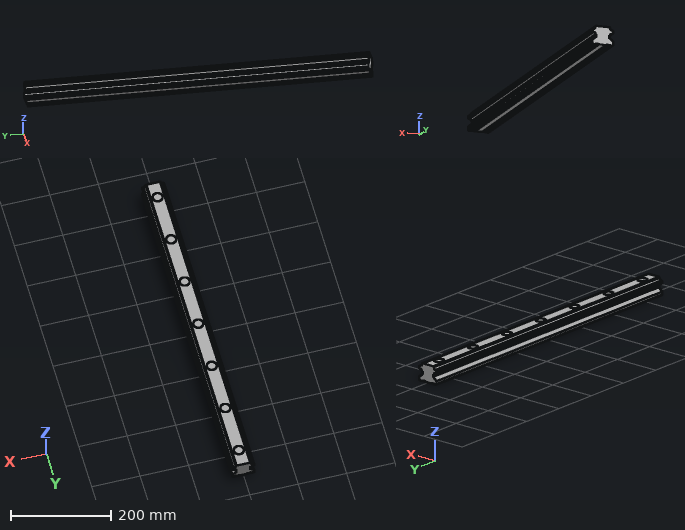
import cadquery as cq

RAIL_WIDTH = 45.0
RAIL_LENGTH = 700.0
RAIL_HEIGHT = 38.0
HALF_WIDTH = RAIL_WIDTH / 2

TOP_HALF_WIDTH = 14.0
TOP_CHAMFER = 1.7
TRACK_INNER_X = TOP_HALF_WIDTH + TOP_CHAMFER
TRACK_OUTER_X = 20.3
TRACK_RADIUS = 4.2
UPPER_TRACK_TOP = RAIL_HEIGHT - TOP_CHAMFER
UPPER_TRACK_BOTTOM = 31.65
LOWER_TRACK_TOP = 24.6
LOWER_TRACK_BOTTOM = 20.0
FLANK_TOP = 29.7
FLANK_BOTTOM = 26.2

NECK_HALF_WIDTH = TOP_HALF_WIDTH
NECK_TOP = 19.2
NECK_BOTTOM = 15.8
FOOT_FLANK_TOP = 8.2
FOOT_CHAMFER = 2.0

GROOVE_INNER_X = 8.4
GROOVE_OUTER_X = 15.0
GROOVE_DEPTH = 1.0

HOLE_COUNT = 7
HOLE_PITCH = 105.0
HOLE_DIAMETER = 20.0
CAP_RECESS = 0.5


def make_half_rail():
    """Extrude the +X half of the rail section along Y, centred on Y = 0."""
    section = (
        cq.Workplane("XZ")
        .moveTo(0, RAIL_HEIGHT)
        .lineTo(TOP_HALF_WIDTH, RAIL_HEIGHT)
        .lineTo(TRACK_INNER_X, UPPER_TRACK_TOP)
        .radiusArc((TRACK_OUTER_X, UPPER_TRACK_BOTTOM), -TRACK_RADIUS)
        .lineTo(HALF_WIDTH, FLANK_TOP)
        .lineTo(HALF_WIDTH, FLANK_BOTTOM)
        .lineTo(TRACK_OUTER_X, LOWER_TRACK_TOP)
        .radiusArc((TRACK_INNER_X, LOWER_TRACK_BOTTOM), -TRACK_RADIUS)
        .lineTo(NECK_HALF_WIDTH, NECK_TOP)
        .lineTo(NECK_HALF_WIDTH, NECK_BOTTOM)
        .lineTo(HALF_WIDTH, FOOT_FLANK_TOP)
        .lineTo(HALF_WIDTH, FOOT_CHAMFER)
        .lineTo(HALF_WIDTH - FOOT_CHAMFER, 0)
        .lineTo(GROOVE_OUTER_X, 0)
        .lineTo(GROOVE_OUTER_X, GROOVE_DEPTH)
        .lineTo(GROOVE_INNER_X, GROOVE_DEPTH)
        .lineTo(GROOVE_INNER_X, 0)
        .lineTo(0, 0)
        .close()
    )
    return section.extrude(RAIL_LENGTH / 2, both=True)


def make_cap_recesses():
    """Return the shallow round recesses left above the capped screw holes."""
    return (
        cq.Workplane("XY", origin=(0, 0, RAIL_HEIGHT - CAP_RECESS))
        .rarray(1, HOLE_PITCH, 1, HOLE_COUNT)
        .circle(HOLE_DIAMETER / 2)
        .extrude(CAP_RECESS)
    )


half_rail = make_half_rail()
rail = half_rail.union(half_rail.mirror("YZ")).clean()
result = rail.cut(make_cap_recesses())